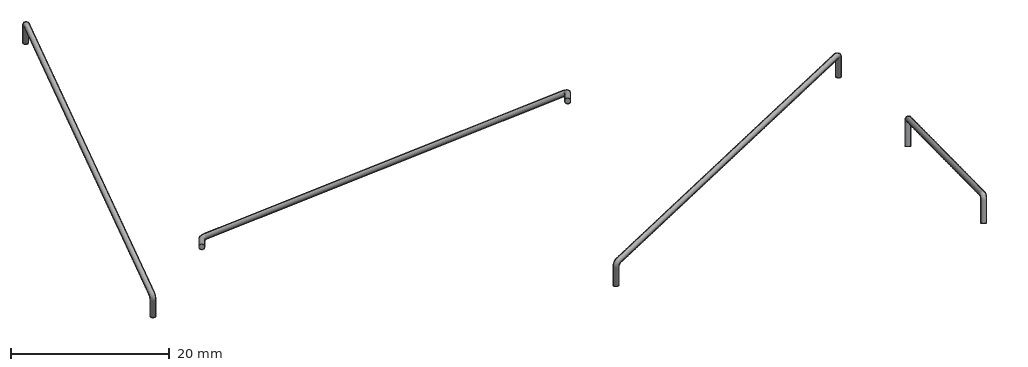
import cadquery as cq

overall_length = 50.75
overall_height = 3.95
wire_diameter = 0.75
inner_bend_radius = 0.2

wire_radius = wire_diameter / 2
bend_radius = inner_bend_radius + wire_radius

leg_x = overall_length / 2 - wire_radius
span_z = overall_height - wire_radius
bend_start_z = span_z - bend_radius
bend_end_x = leg_x - bend_radius

centreline = (
    cq.Workplane("XZ")
    .moveTo(-leg_x, 0)
    .lineTo(-leg_x, bend_start_z)
    .tangentArcPoint((-bend_end_x, span_z), relative=False)
    .lineTo(bend_end_x, span_z)
    .tangentArcPoint((leg_x, bend_start_z), relative=False)
    .lineTo(leg_x, 0)
)

result = cq.Workplane("XY").center(-leg_x, 0).circle(wire_radius).sweep(centreline)